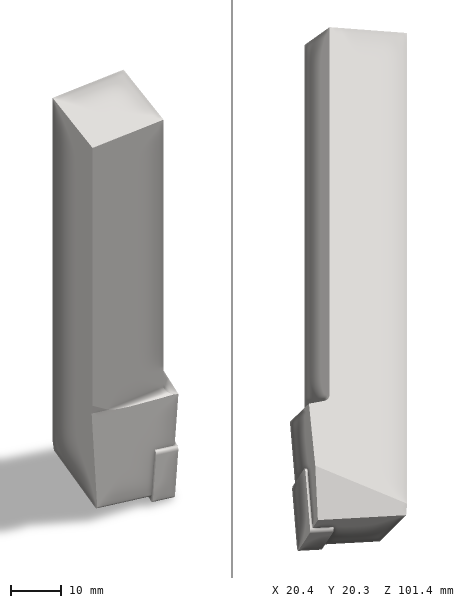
import cadquery as cq
import math

LENGTH = 101.4
SHANK = 16.0

INSERT_INSCRIBED_CIRCLE = 12.7
INSERT_THICKNESS = 4.8
INSERT_CORNER_ANGLE = 80.0
INSERT_CORNER_RADIUS = 0.8

RAKE_ANGLE = 6.0
SHARP_TIP = (20.5, SHANK, -0.07)
INSERT_PROUD = 0.5
INSERT_OVERHANG = 0.76

HEAD_CORNER_RADIUS = 0.8
FLANK_LENGTH = 24.8
RUNOUT_TURN = 14.0

SHOULDER_HEIGHT = 26.0
SHOULDER_ANGLE = 14.0
SHOULDER_FILLET = 1.5
SHOULDER_REACH = 10.1

HEEL_HEIGHT = 6.3
HEEL_RISE = 0.33
HEEL_SLOPE = 0.25

BEYOND = 121.6

half_corner = INSERT_CORNER_ANGLE / 2
rake_slope = math.tan(math.radians(RAKE_ANGLE))

rake_plane = cq.Plane(origin=SHARP_TIP, xDir=(1, 0, 1), normal=(rake_slope, 1, -rake_slope))
across_rake = cq.selectors.ParallelDirSelector(rake_plane.zDir)


def step(start, angle, distance):
    """Point reached from start, at an angle in degrees from the inward bisector (local -Y)."""
    turn = math.radians(angle)
    return (start[0] + distance * math.sin(turn), start[1] - distance * math.cos(turn))


def make_insert():
    side = INSERT_INSCRIBED_CIRCLE / math.sin(math.radians(INSERT_CORNER_ANGLE))
    tip = (0, 0)
    upper = step(tip, half_corner, side)
    inner = step(upper, -half_corner, side)
    lower = step(tip, -half_corner, side)
    return (
        cq.Workplane(rake_plane)
        .polyline([tip, upper, inner, lower])
        .close()
        .extrude(-INSERT_THICKNESS)
        .edges(across_rake)
        .fillet(INSERT_CORNER_RADIUS)
    )


def make_shouldered_bar(plane_name):
    """Long bar whose profile, drawn on the named plane, steps out below a sloping shoulder."""
    outer = SHANK + SHOULDER_REACH
    shoulder_end = SHOULDER_HEIGHT - SHOULDER_REACH * math.tan(math.radians(SHOULDER_ANGLE))
    profile = [
        (0, -BEYOND),
        (outer, -BEYOND),
        (outer, shoulder_end),
        (SHANK, SHOULDER_HEIGHT),
        (SHANK, LENGTH),
        (0, LENGTH),
    ]
    plane = cq.Plane.named(plane_name)
    inner_corner = plane.toWorldCoords((SHANK, SHOULDER_HEIGHT))
    return (
        cq.Workplane(plane)
        .polyline(profile)
        .close()
        .extrude(BEYOND, both=True)
        .edges(cq.selectors.NearestToPointSelector(inner_corner.toTuple()))
        .fillet(SHOULDER_FILLET)
    )


def make_flank_prism():
    """Prism square to the rake face: it bounds the rear face, side flank, run-out and end flank."""
    corner = (0, -INSERT_OVERHANG / math.sin(math.radians(half_corner)))
    flank_top = step(corner, half_corner, FLANK_LENGTH)
    runout_end = step(flank_top, half_corner + RUNOUT_TURN, BEYOND)
    far_corner = step(runout_end, -half_corner, BEYOND)
    end_flank_end = step(corner, -half_corner, BEYOND)
    prism = (
        cq.Workplane(rake_plane)
        .workplane(offset=-INSERT_PROUD)
        .polyline([corner, flank_top, runout_end, far_corner, end_flank_end])
        .close()
        .extrude(-BEYOND)
    )
    corner_point = rake_plane.toWorldCoords((*corner, -INSERT_PROUD - BEYOND / 2))
    return (
        prism.edges(cq.selectors.NearestToPointSelector(corner_point.toTuple()))
        .fillet(HEAD_CORNER_RADIUS)
    )


def make_heel_cutter():
    heel_plane = cq.Plane(
        origin=(0, 0, HEEL_HEIGHT),
        xDir=(0, 1, HEEL_RISE),
        normal=(-1, HEEL_SLOPE * HEEL_RISE, -HEEL_SLOPE),
    )
    return cq.Workplane(heel_plane).rect(BEYOND, BEYOND).extrude(BEYOND)


def make_holder(insert):
    shouldered_blank = make_shouldered_bar("YZ").intersect(make_shouldered_bar("XZ"))
    return (
        shouldered_blank
        .intersect(make_flank_prism())
        .cut(make_heel_cutter())
        .cut(insert)
    )


insert = make_insert()
holder = make_holder(insert)

result = cq.Compound.makeCompound([holder.val(), insert.val()])